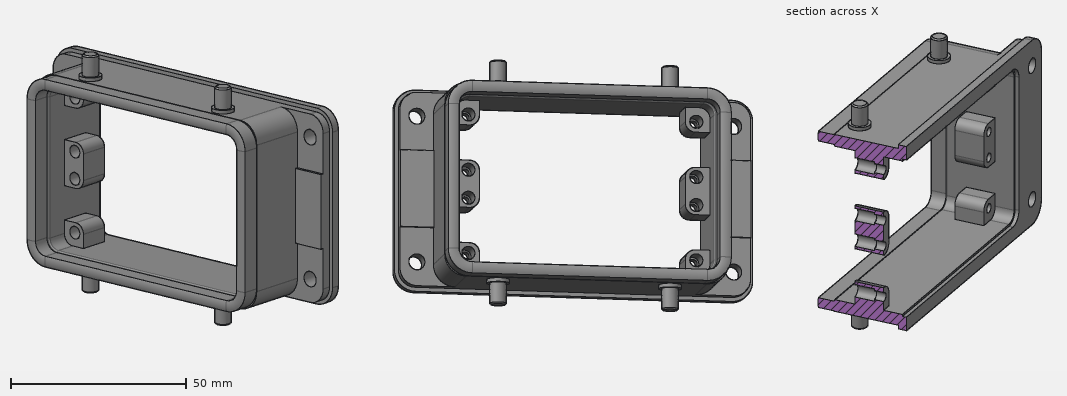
import cadquery as cq
import math


flange_length = 103.9
flange_height = 58.3
flange_corner = 6.0
flange_thickness = 2.6
step_inset = 1.1
step_front = 5.4

pad_height = 22.2
pad_front = 6.3

body_length = 82.3
body_corner = 6.2
body_front = 23.2
rim_inset = 0.1
rim_corner = 7.0
overall_depth = 28.5
rim_crown = 0.3

opening_length = 74.0
opening_height = 48.3
opening_corner = 3.1
rim_clearance = 0.5
ledge_round = 0.4
back_recess_clearance = 0.6
back_recess_depth = 1.2

boss_inner_x = 29.8
boss_back = 7.3
boss_front = 16.5
boss_corner = 2.9
boss_hole_x = 33.0
middle_hole_z = 4.1
outer_hole_z = 20.1
middle_boss_half = 6.9
outer_boss_start = 17.0
boss_hole_diameter = 2.7
boss_bore_diameter = 3.7
boss_bore_depth = 6.2

mount_hole_x = 45.9
mount_hole_z = 21.1
mount_hole_diameter = 4.6

pin_x = 24.9
pin_y = -19.1
pin_diameter = 4.8
pin_span = 70.5
pin_chamfer = 0.4
collar_diameter = 6.5
collar_height = 1.0
pin_root = 1.0

step_length = flange_length - 2 * step_inset
step_height = flange_height - 2 * step_inset
body_height = step_height
rim_length = body_length - 2 * rim_inset
rim_height = body_height - 2 * rim_inset
rim_wall = (rim_height - opening_height) / 2 - rim_clearance
rim_opening_length = rim_length - 2 * rim_wall
rim_opening_height = rim_height - 2 * rim_wall


def block(length, height, back, front):
    """Box centred on X and Z, from depth `back` to depth `front` measured toward -Y."""
    return cq.Workplane("XZ", origin=(0, -back, 0)).rect(length, height).extrude(front - back)


def rounded_block(length, height, corner, back, front):
    return block(length, height, back, front).edges("|Y").fillet(corner)


def cylinders(points, diameter, back, front):
    """Cylinders along Y at the given X, Z points."""
    plane = cq.Workplane("XZ", origin=(0, -back, 0))
    return plane.pushPoints(points).circle(diameter / 2).extrude(front - back)


def make_flange():
    plate = rounded_block(flange_length, flange_height, flange_corner, 0, flange_thickness)
    step = rounded_block(step_length, step_height, flange_corner - step_inset, 0, step_front)
    pads = block(step_length, pad_height, 0, pad_front)
    return plate.union(step).union(pads)


def rim_path(length, height, corner):
    """Closed rounded rectangle that starts at the middle of the left side"""
    x = length / 2
    z = height / 2
    inset = corner * (1 - math.sqrt(0.5))
    return (
        cq.Workplane("XZ", origin=(0, -body_front, 0))
        .moveTo(-x, 0)
        .lineTo(-x, z - corner)
        .threePointArc((-x + inset, z - inset), (-x + corner, z))
        .lineTo(x - corner, z)
        .threePointArc((x - inset, z - inset), (x, z - corner))
        .lineTo(x, -z + corner)
        .threePointArc((x - inset, -z + inset), (x - corner, -z))
        .lineTo(-x + corner, -z)
        .threePointArc((-x + inset, -z + inset), (-x, -z + corner))
        .close()
    )


def make_rim():
    """Ring with a gently crowned front, swept around the opening"""
    half_wall = rim_wall / 2
    path_height = rim_height - rim_wall
    path_length = rim_length - rim_wall
    edge_depth = overall_depth - rim_crown
    path = rim_path(path_length, path_height, rim_corner - half_wall)
    profile = (
        cq.Workplane("XY", origin=(-path_length / 2, 0, 0))
        .moveTo(-half_wall, -body_front)
        .lineTo(half_wall, -body_front)
        .lineTo(half_wall, -edge_depth)
        .threePointArc((0, -overall_depth), (-half_wall, -edge_depth))
        .close()
    )
    return profile.sweep(path)


def make_boss(low_z, high_z):
    """Boss on the +X wall, running into the middle of the wall thickness"""
    wall_x = (opening_length + body_length) / 4
    width = wall_x - boss_inner_x
    height = high_z - low_z
    centre = (boss_inner_x + width / 2, -boss_back, (low_z + high_z) / 2)
    return cq.Workplane("XZ", origin=centre).rect(width, height).extrude(boss_front - boss_back)


def make_bosses():
    wall_z = (opening_height + body_height) / 4
    middle = make_boss(-middle_boss_half, middle_boss_half).edges("|Y and <X").fillet(boss_corner)
    upper = make_boss(outer_boss_start, wall_z).edges("|Y and <X and <Z").fillet(boss_corner)
    right = middle.union(upper).union(upper.mirror("XY"))
    return right.union(right.mirror("YZ"))


def make_pin_pair(x):
    """Two opposite pins, each with a collar, rooted in the long walls"""
    plane = cq.Workplane("XY", origin=(x, pin_y, body_height / 2 - pin_root))
    pin = plane.circle(pin_diameter / 2).extrude((pin_span - body_height) / 2 + pin_root)
    pin = pin.faces(">Z").chamfer(pin_chamfer)
    collar = plane.circle(collar_diameter / 2).extrude(collar_height + pin_root)
    upper = pin.union(collar)
    return upper.union(upper.mirror("XY"))


def make_hood():
    """Flange and body with the passage through them, before the rim is added"""
    body = rounded_block(body_length, body_height, body_corner, 0, body_front)
    passage = rounded_block(opening_length, opening_height, opening_corner, 0, body_front)
    recess = rounded_block(
        opening_length + 2 * back_recess_clearance,
        opening_height + 2 * back_recess_clearance,
        opening_corner + back_recess_clearance,
        0,
        back_recess_depth,
    )
    hood = make_flange().union(body).cut(passage)
    inner_front_edges = cq.selectors.BoxSelector(
        (-rim_opening_length / 2, -body_front - ledge_round, -rim_opening_height / 2),
        (rim_opening_length / 2, -body_front + ledge_round, rim_opening_height / 2),
    )
    hood = hood.edges(inner_front_edges).fillet(ledge_round)
    return hood.cut(recess)


def make_boss_holes():
    """Through holes in the bosses, bored wider from the front"""
    points = [
        (side * boss_hole_x, z)
        for side in (-1, 1)
        for z in (-outer_hole_z, -middle_hole_z, middle_hole_z, outer_hole_z)
    ]
    through = cylinders(points, boss_hole_diameter, boss_back, boss_front)
    bores = cylinders(points, boss_bore_diameter, boss_front - boss_bore_depth, boss_front)
    return through.union(bores)


def make_mount_holes():
    points = [(x, z) for x in (-mount_hole_x, mount_hole_x) for z in (-mount_hole_z, mount_hole_z)]
    return cylinders(points, mount_hole_diameter, 0, step_front)


result = make_hood().union(make_rim()).union(make_bosses())
for x in (-pin_x, pin_x):
    result = result.union(make_pin_pair(x))
result = result.cut(make_boss_holes()).cut(make_mount_holes())